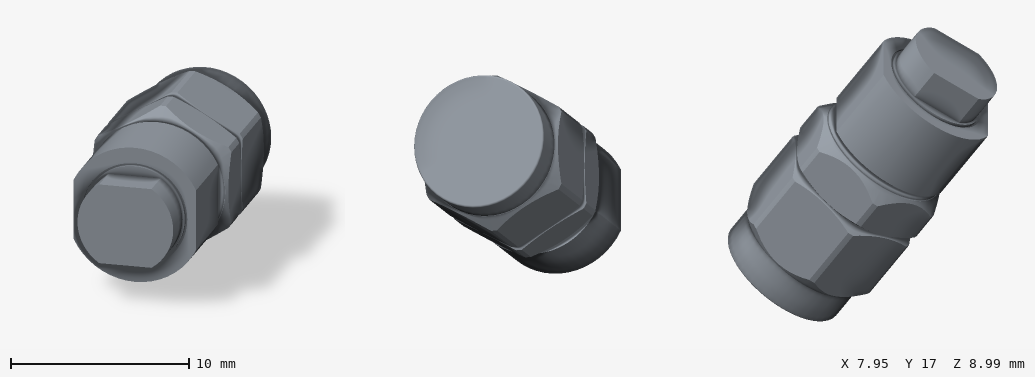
import cadquery as cq
import math

LENGTH = 17.02
REAR_Y = LENGTH / 2

COLLAR_DIAMETER = 7.65
COLLAR_END = 2.05
COLLAR_ROUND = 0.1

HEX_FLATS = 7.95
HEX_CORNERS = 8.99
FACE_DIAMETER = 7.7
NUT_SPLIT = 7.01
REAR_NUT_SHOULDERS = (2.83, 6.65)
FRONT_NUT_SHOULDERS = (7.39, 9.05)
FRONT_NUT_END = 9.85

RELIEF_DIAMETER = 7.45
FLANGE_DIAMETER = 7.65
FLANGE_START = 9.92
FLANGE_END = 10.08
FLANGE_ROUND = 0.14
NECK_DIAMETER = 6.88

BODY_DIAMETER = 7.95
BODY_FLATS = 7.11
BODY_START = 10.38
BODY_END = 15.0
RECESS_DIAMETER = 6.1
RECESS_DEPTH = 0.1

SLEEVE_DIAMETER = 5.84
SLEEVE_END = 15.1
TIP_DIAMETER = 5.57
TIP_FLATS = 4.66


def section_plane(station):
    """XZ plane at an axial station; extrusion runs towards the front."""
    return cq.Workplane("XZ", origin=(0, REAR_Y - station, 0))


def cylinder(diameter, start, end):
    return section_plane(start).circle(diameter / 2).extrude(end - start)


def flat_bar(width, height, start, end):
    return section_plane(start).rect(width, height).extrude(end - start)


def hex_nut(start, shoulders, end):
    """Hexagon with flats facing X, limited by a cylinder with conical ends."""
    across_points = HEX_FLATS / math.cos(math.pi / 6)
    prism = section_plane(start).transformed(rotate=(0, 0, 30))
    prism = prism.polygon(6, across_points).extrude(end - start)
    rear_shoulder, front_shoulder = shoulders
    envelope = (
        cq.Workplane("XY")
        .moveTo(0, REAR_Y - start)
        .lineTo(FACE_DIAMETER / 2, REAR_Y - start)
        .lineTo(HEX_CORNERS / 2, REAR_Y - rear_shoulder)
        .lineTo(HEX_CORNERS / 2, REAR_Y - front_shoulder)
        .lineTo(FACE_DIAMETER / 2, REAR_Y - end)
        .lineTo(0, REAR_Y - end)
        .close()
        .revolve(360, (0, 0, 0), (0, 1, 0))
    )
    return prism.intersect(envelope)


collar = cylinder(COLLAR_DIAMETER, 0, COLLAR_END).faces(">Y").fillet(COLLAR_ROUND)
rear_nut = hex_nut(COLLAR_END, REAR_NUT_SHOULDERS, NUT_SPLIT)
front_nut = hex_nut(NUT_SPLIT, FRONT_NUT_SHOULDERS, FRONT_NUT_END)

relief = cylinder(RELIEF_DIAMETER, FRONT_NUT_END, FLANGE_START)
flange = cylinder(FLANGE_DIAMETER, FLANGE_START, FLANGE_END).faces("<Y").fillet(FLANGE_ROUND)
neck = cylinder(NECK_DIAMETER, FLANGE_END, BODY_START)

body = cylinder(BODY_DIAMETER, BODY_START, BODY_END)
body = body.intersect(flat_bar(BODY_FLATS, BODY_DIAMETER, BODY_START, BODY_END))
recess_floor = BODY_END - RECESS_DEPTH
body = body.cut(cylinder(RECESS_DIAMETER, recess_floor, BODY_END))

sleeve = cylinder(SLEEVE_DIAMETER, recess_floor, SLEEVE_END)
tip = cylinder(TIP_DIAMETER, SLEEVE_END, LENGTH)
tip = tip.intersect(flat_bar(TIP_DIAMETER, TIP_FLATS, SLEEVE_END, LENGTH))

result = collar
for section in (rear_nut, front_nut, relief, flange, neck, body, sleeve, tip):
    result = result.union(section)